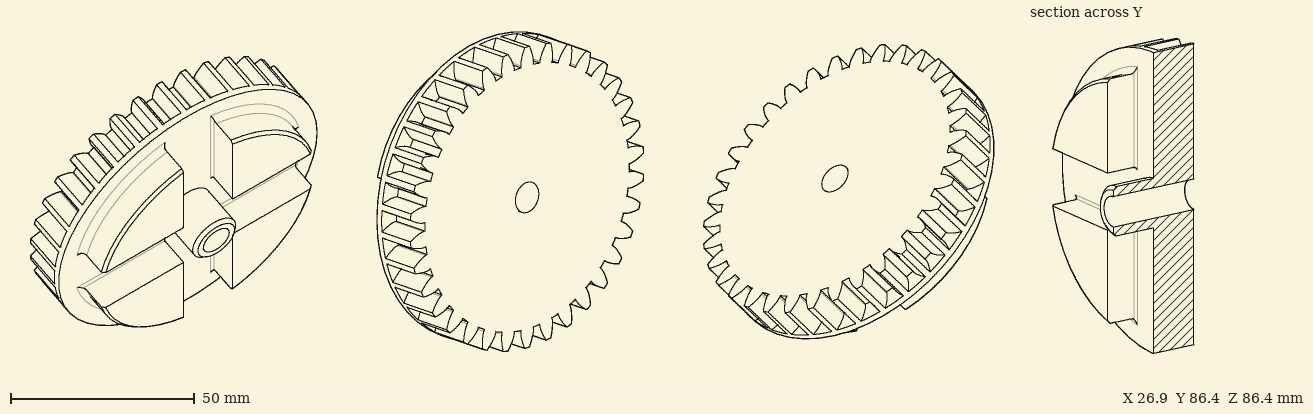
import cadquery as cq
import math


tooth_count = 34
outer_radius = 43.2
module = 2 * outer_radius / (tooth_count + 2)
pitch_radius = module * tooth_count / 2
dedendum = 1.25 * module
root_radius = pitch_radius - dedendum
pressure_angle = math.radians(20)
base_radius = pitch_radius * math.cos(pressure_angle)
tooth_length = 11.5

flange_face = 13.5

hub_radius = 36.05
hub_end = 23.0
hub_base_fillet = 1.8
hub_chamfer = 0.9
slot_width = 16.4
slot_floor_fillet = 0.7

pin_diameter = 14.35
pin_end = 26.9
pin_chamfer = 1.0
bore_diameter = 8.65

clearance = 0.9
flank_points = 6


def cylinder(radius, start, end):
    return cq.Workplane("YZ", origin=(start, 0, 0)).circle(radius).extrude(end - start)


def polar_point(radius, angle):
    """Point at an angle measured from +Z toward +Y."""
    return (radius * math.sin(angle), radius * math.cos(angle))


def gap_half_angle(radius):
    """Half the angle between the involute flanks of one tooth gap."""
    flank_angle = math.acos(base_radius / radius)
    pitch_half_angle = math.pi / (2 * tooth_count)
    pitch_involute = math.tan(pressure_angle) - pressure_angle
    return pitch_half_angle - pitch_involute + math.tan(flank_angle) - flank_angle


def make_tooth_gap():
    """Cutter for one gap: radial below the base circle, involute above it."""
    radial_step = (outer_radius + clearance - base_radius) / (flank_points - 1)
    radii = [base_radius + radial_step * i for i in range(flank_points)]
    left = [polar_point(r, -gap_half_angle(r)) for r in radii]
    right = [polar_point(r, gap_half_angle(r)) for r in radii]
    root_angle = gap_half_angle(base_radius)
    return (
        cq.Workplane("YZ")
        .moveTo(*polar_point(root_radius, -root_angle))
        .lineTo(*left[0])
        .spline(left[1:], includeCurrent=True)
        .lineTo(*right[-1])
        .spline(right[-2::-1], includeCurrent=True)
        .lineTo(*polar_point(root_radius, root_angle))
        .threePointArc((0, root_radius), polar_point(root_radius, -root_angle))
        .close()
        .extrude(tooth_length)
    )


def make_gear():
    """Toothed disc with one tooth centred on +Z and the flange behind the teeth."""
    gear = cylinder(outer_radius, 0, flange_face)
    gap = make_tooth_gap()
    pitch = 360 / tooth_count
    gaps = []
    for i in range(tooth_count):
        gaps.append(gap.rotate((0, 0, 0), (1, 0, 0), (i + 0.5) * pitch).val())
    return gear.cut(cq.Workplane(cq.Compound.makeCompound(gaps)))


def make_slot(turn):
    """Cutter for one slot across the hub, turned about the gear axis."""
    length = 2 * (outer_radius + clearance)
    depth = hub_end + clearance - flange_face
    slot = cq.Workplane("XY").box(depth, length, slot_width, centered=(False, True, True))
    slot = slot.edges("<X and |Y").fillet(slot_floor_fillet)
    return slot.translate((flange_face, 0, 0)).rotate((0, 0, 0), (1, 0, 0), turn)


def make_hub():
    """Hub with a chamfered rim and flared base, split into four by crossed slots."""
    fillet_centre = (flange_face + hub_base_fillet, hub_radius + hub_base_fillet)
    fillet_reach = hub_base_fillet * math.sqrt(0.5)
    profile = (
        cq.Workplane("XY")
        .moveTo(flange_face, 0)
        .lineTo(flange_face, fillet_centre[1])
        .threePointArc(
            (fillet_centre[0] - fillet_reach, fillet_centre[1] - fillet_reach),
            (fillet_centre[0], hub_radius),
        )
        .lineTo(hub_end - hub_chamfer, hub_radius)
        .lineTo(hub_end, hub_radius - hub_chamfer)
        .lineTo(hub_end, 0)
        .close()
    )
    hub = profile.revolve(360, (0, 0, 0), (1, 0, 0))
    for turn in (0, 90):
        hub = hub.cut(make_slot(turn))
    return hub


def make_pin():
    return cylinder(pin_diameter / 2, 0, pin_end).faces(">X").chamfer(pin_chamfer)


bore = cylinder(bore_diameter / 2, -clearance, pin_end + clearance)
result = make_gear().union(make_hub()).union(make_pin()).cut(bore)